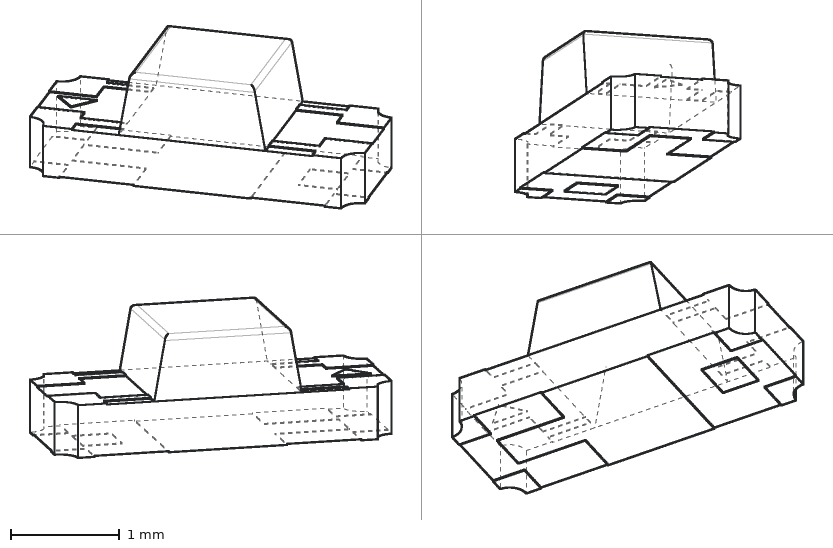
import cadquery as cq
import math

LENGTH = 3.2
WIDTH = 1.25
HEIGHT = 1.11
HALF_LENGTH = LENGTH / 2
HALF_WIDTH = WIDTH / 2

BOARD_HEIGHT = 0.5
LAND_THICKNESS = 0.01
CORE_TOP = BOARD_HEIGHT - LAND_THICKNESS
CORNER_RADIUS = 0.175

LENS_HALF_LENGTH = 0.7
LENS_DRAFT = 10.0
LENS_FILLET = 0.05

TOP_PAD_INNER_X = 1.15
TOP_PAD_INNER_Y = 0.2
TOP_TRACES = [
    (-1, 1, 0.448, 0.545),
    (-1, -1, 0.342, 0.485),
    (1, 1, 0.39, 0.515),
    (1, -1, 0.39, 0.515),
]

MARK_CENTRE_X = -1.305
MARK_HALF_WIDTH = 0.185
MARK_BASE_Y = 0.112
MARK_TIP_Y = -0.102

BOTTOM_PAD_INNER_X = 1.267
BOTTOM_PAD_INNER_Y = 0.315
STRIP_HALF_LENGTH = 0.56
BAR_HALF_WIDTH = TOP_PAD_INNER_Y
PLUS_X_BAR_START = 0.893


def block(x_limits, y_limits, z_limits):
    """Box between two limits along each axis, given in either order."""
    limits = [sorted(pair) for pair in (x_limits, y_limits, z_limits)]
    sizes = [high - low for low, high in limits]
    corner = tuple(low for low, high in limits)
    return cq.Workplane("XY").box(*sizes, centered=False).translate(corner)


def top_land(x_limits, y_limits):
    return block(x_limits, y_limits, (CORE_TOP, BOARD_HEIGHT))


def bottom_land(x_limits, y_limits):
    return block(x_limits, y_limits, (0, LAND_THICKNESS))


def top_pad(side_x, side_y, trace_inner, trace_outer):
    """Corner pad joined to its trace, which ends at the foot of the lens."""
    pad = top_land(
        (side_x * TOP_PAD_INNER_X, side_x * HALF_LENGTH),
        (side_y * TOP_PAD_INNER_Y, side_y * HALF_WIDTH),
    )
    trace = top_land(
        (side_x * LENS_HALF_LENGTH, side_x * TOP_PAD_INNER_X),
        (side_y * trace_inner, side_y * trace_outer),
    )
    return pad.union(trace)


def polarity_mark():
    return (
        cq.Workplane("XY", origin=(MARK_CENTRE_X, 0, CORE_TOP))
        .moveTo(-MARK_HALF_WIDTH, MARK_BASE_Y)
        .lineTo(MARK_HALF_WIDTH, MARK_BASE_Y)
        .lineTo(0, MARK_TIP_Y)
        .close()
        .extrude(LAND_THICKNESS)
    )


def bottom_lands():
    lands = [
        bottom_land(
            (side_x * BOTTOM_PAD_INNER_X, side_x * HALF_LENGTH),
            (side_y * BOTTOM_PAD_INNER_Y, side_y * HALF_WIDTH),
        )
        for side_x in (-1, 1)
        for side_y in (-1, 1)
    ]
    lands.append(bottom_land((-STRIP_HALF_LENGTH, STRIP_HALF_LENGTH), (-HALF_WIDTH, HALF_WIDTH)))
    bar_y = (-BAR_HALF_WIDTH, BAR_HALF_WIDTH)
    lands.append(bottom_land((-BOTTOM_PAD_INNER_X, -STRIP_HALF_LENGTH), bar_y))
    lands.append(bottom_land((PLUS_X_BAR_START, BOTTOM_PAD_INNER_X), bar_y))
    return lands


def make_board():
    board = block(
        (-HALF_LENGTH, HALF_LENGTH),
        (-HALF_WIDTH, HALF_WIDTH),
        (LAND_THICKNESS, CORE_TOP),
    )
    for trace in TOP_TRACES:
        board = board.union(top_pad(*trace))
    board = board.union(polarity_mark())
    for land in bottom_lands():
        board = board.union(land)
    notches = (
        cq.Workplane("XY")
        .rect(LENGTH, WIDTH, forConstruction=True)
        .vertices()
        .circle(CORNER_RADIUS)
        .extrude(BOARD_HEIGHT)
    )
    return board.cut(notches)


def make_lens():
    """Trapezoid in XZ across the full board width, rounded around the top."""
    draft_inset = (HEIGHT - CORE_TOP) * math.tan(math.radians(LENS_DRAFT))
    top_half_length = LENS_HALF_LENGTH - draft_inset
    return (
        cq.Workplane("XZ", origin=(0, HALF_WIDTH, 0))
        .moveTo(-LENS_HALF_LENGTH, CORE_TOP)
        .lineTo(LENS_HALF_LENGTH, CORE_TOP)
        .lineTo(top_half_length, HEIGHT)
        .lineTo(-top_half_length, HEIGHT)
        .close()
        .extrude(WIDTH)
        .faces(">Z")
        .edges()
        .fillet(LENS_FILLET)
    )


board = make_board()
lens = make_lens()

result = cq.Compound.makeCompound([board.solids().val(), lens.solids().val()])